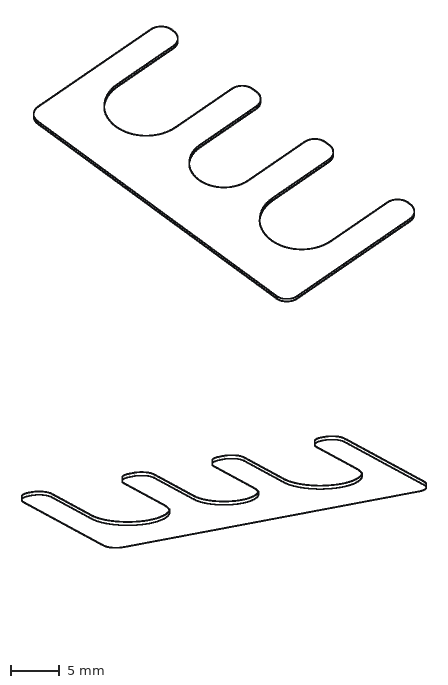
import cadquery as cq

LENGTH = 38.1
WIDTH = 19.05
THICKNESS = 0.4
CORNER_RADIUS = 1.5

OUTER_SLOT_WIDTH = 8.6
MIDDLE_SLOT_WIDTH = 7.12
SLOT_SPACING = 11.43


def round_ended_slot(center_x, slot_width):
    """Cutter for a slot running from its round end out through the +Y edge."""
    radius = slot_width / 2
    open_end = WIDTH / 2
    return (
        cq.Workplane("XY")
        .moveTo(center_x - radius, open_end)
        .lineTo(center_x - radius, 0)
        .threePointArc((center_x, -radius), (center_x + radius, 0))
        .lineTo(center_x + radius, open_end)
        .close()
        .extrude(THICKNESS)
    )


plate = cq.Workplane("XY").rect(LENGTH, WIDTH).extrude(THICKNESS)

slots = (
    (-SLOT_SPACING, OUTER_SLOT_WIDTH),
    (0, MIDDLE_SLOT_WIDTH),
    (SLOT_SPACING, OUTER_SLOT_WIDTH),
)
for slot_x, width in slots:
    plate = plate.cut(round_ended_slot(slot_x, width))

back_corners = plate.faces("<Y").edges("|Z")
tip_corners = plate.faces(">Y").edges("|Z")
result = back_corners.add(tip_corners).fillet(CORNER_RADIUS)